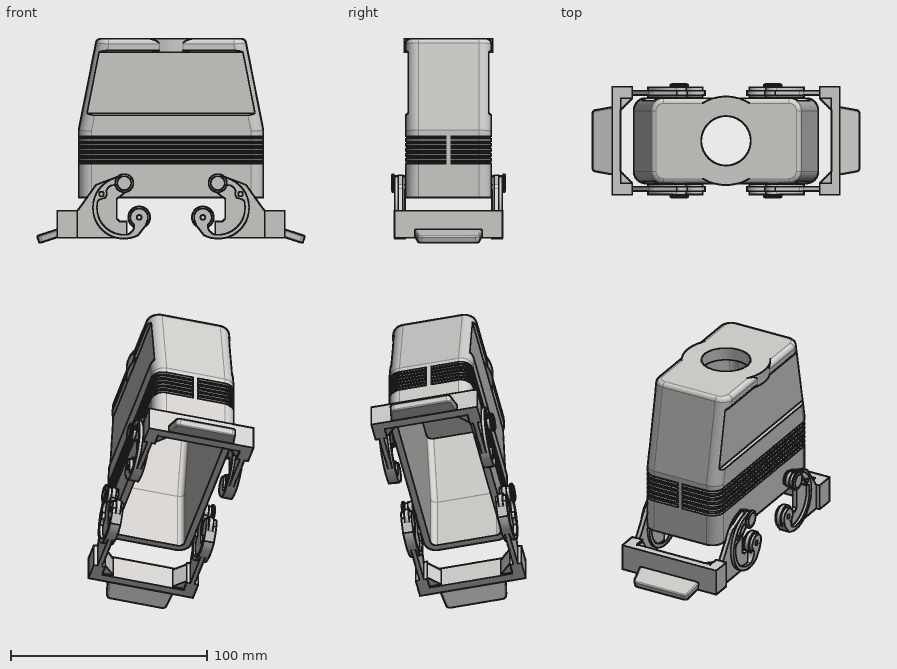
import cadquery as cq
import math

overall_length = 136.3

hood_length = 94.2
hood_width = 43.6
hood_height = 81.0
taper_start_z = 34.5
hood_top_length = 75.8
corner_radius = 6.4
top_fillet = 2.6
wall = 3.4
roof_thickness = 6.8
cavity_corner_radius = corner_radius - wall
cable_hole_diameter = 25.1
boss_radius = 22.6

panel_width = 41.0
panel_bottom_z = 42.0
panel_top_z = hood_height - roof_thickness
panel_bottom_bevel = 1.1
panel_top_bevel = 0.8

groove_count = 6
groove_height = 1.5
groove_depth = 0.8
first_groove_z = 17.2
last_groove_z = 29.8
groove_pitch = (last_groove_z - first_groove_z) / (groove_count - 1)
end_rib_width = 2.6

frame_outer_x = 58.0
frame_inner_x = 47.7
bar_thickness = 4.4
frame_width = 55.2
frame_opening = 43.2
frame_top_z = -6.7
frame_bottom_z = -20.6
gusset_setback = 1.1

tab_root_width = 34.3
tab_tip_width = 30.8
tab_thickness = 4.0
tab_angle = 18.0
tab_root_z = -18.3
tab_embed = 1.4
tab_corner_radius = 2.0
tab_edge_fillet = 0.7
tab_tilt = math.radians(tab_angle)
tab_reach = overall_length / 2 - frame_outer_x
tab_tip_rise = (tab_thickness / 2 - tab_edge_fillet) * math.sin(tab_tilt)
tab_length = tab_edge_fillet + (tab_reach - tab_edge_fillet - tab_tip_rise) / math.cos(tab_tilt)

plate_inner_y = 23.3
plate_outer_y = 25.6
plate_embed = 1.4
lip_x = -22.5
lip_z = -12.1
lip_chamfer = 1.4
jaw_x = -27.5
jaw_top = (jaw_x, -0.7)
neck_front = (-21.8, 3.8)
neck_back = (-25.1, 11.5)
shoulder_top = (-37.3, 6.8)
shoulder_mid = (-38.6, 6.0)
shoulder_end = (-39.4, 4.8)

pivot_x = -23.9
pivot_z = 7.4
hub_radius = 3.7
hub_plate_radius = 4.1
ring_x = -24.0
ring_z = -5.2
ring_outer_radius = 15.8
ring_inner_radius = 13.8

eye_x = -16.2
eye_z = -10.1
eye_plate_radius = 5.6
eye_hook_radius = 4.5

hook_inner_y = 22.1
hook_outer_y = 27.4
ring_top_angle = 90
tail_angle = 297
outer_mid_angle = (ring_top_angle + tail_angle) / 2
tail_corner = (-13.2, -14.7)
tail_end = (-12.3, -12.4)
throat_tip = (-18.8, -13.9)
throat_mid = (-19.6, -16.9)
throat_angle = 277
pad_angle = 166
inner_mid_angle = (throat_angle + pad_angle) / 2
pad_root = (-36.0, -0.8)
pad_bottom = (-34.1, -0.4)
pad_corner = (-33.1, 0.5)
pad_top = (-33.0, 3.0)
arch_mid = (-31.8, 5.3)
arch_end = (-29.0, 6.4)

dimple_radius = 1.2
dimple_depth = 1.4
dimple_centres = [(-35.5, 1.8), (eye_x, eye_z)]

pin_head_radius = 4.6
pin_face_radius = 3.5
pin_bevel_depth = 0.5
pin_neck_radius = 3.0
pin_root_y = 20.5
pin_head_y = 27.8
pin_end_y = 29.0


def tapered_box(length, top_length, width, height, radius):
    """Straight-sided base with sloping ends above, all upright corners rounded."""
    profile = [
        (-length / 2, 0),
        (length / 2, 0),
        (length / 2, taper_start_z),
        (top_length / 2, height),
        (-top_length / 2, height),
        (-length / 2, taper_start_z),
    ]
    body = cq.Workplane("XZ").polyline(profile).close().extrude(width / 2, both=True)
    return body.edges("not (|X or |Y)").fillet(radius)


def side_panel():
    """Cutter for the shallow panel in the -Y side, bevelled at its lower and upper edges."""
    outside = hood_width
    profile = [
        (-panel_width / 2, panel_top_z),
        (-hood_width / 2, panel_top_z + panel_top_bevel),
        (-outside, panel_top_z + panel_top_bevel),
        (-outside, panel_bottom_z),
        (-hood_width / 2, panel_bottom_z),
        (-panel_width / 2, panel_bottom_z + panel_bottom_bevel),
    ]
    return cq.Workplane("YZ").polyline(profile).close().extrude(hood_length, both=True)


def grip_groove(z):
    """V-shaped ring cutter for one groove, interrupted by a rib at the middle of each end."""
    ring = (
        cq.Workplane("XY", origin=(0, 0, z))
        .rect(hood_length * 2, hood_width * 2)
        .extrude(groove_height)
    )
    middle = z + groove_height / 2
    flank_angle = math.degrees(math.atan(2 * groove_depth / groove_height))
    lower_flank = (
        cq.Workplane("XY", origin=(0, 0, z))
        .sketch()
        .rect(hood_length, hood_width)
        .vertices()
        .fillet(corner_radius)
        .finalize()
        .extrude(groove_height / 2, taper=flank_angle)
    )
    upper_flank = lower_flank.mirror("XY", (0, 0, middle))
    rib = cq.Workplane("XY", origin=(0, 0, z)).rect(hood_length * 2, end_rib_width).extrude(groove_height)
    return ring.cut(lower_flank).cut(upper_flank).cut(rib)


def make_hood():
    hood = tapered_box(hood_length, hood_top_length, hood_width, hood_height, corner_radius)
    hood = hood.faces(">Z").edges().fillet(top_fillet)
    panel = side_panel()
    hood = hood.cut(panel).cut(panel.mirror("XZ"))
    for i in range(groove_count):
        hood = hood.cut(grip_groove(first_groove_z + i * groove_pitch))
    boss = cq.Workplane("XY", origin=(0, 0, panel_top_z)).circle(boss_radius).extrude(roof_thickness)
    cavity = tapered_box(
        hood_length - 2 * wall,
        hood_top_length - 2 * wall,
        hood_width - 2 * wall,
        hood_height - roof_thickness,
        cavity_corner_radius,
    )
    cable_hole = cq.Workplane("XY").circle(cable_hole_diameter / 2).extrude(hood_height)
    return hood.union(boss).cut(cavity).cut(cable_hole)


def make_frame():
    """U-shaped cross bar with a gusset in each inner corner."""
    height = frame_top_z - frame_bottom_z
    depth = frame_outer_x - frame_inner_x
    bar_inner_x = -frame_outer_x + bar_thickness
    frame = cq.Workplane("XY").box(depth, frame_width, height, centered=(False, True, False))
    opening = (
        cq.Workplane("XY")
        .box(depth, frame_opening, height, centered=(False, True, False))
        .translate((bar_thickness, 0, 0))
    )
    frame = frame.cut(opening).translate((-frame_outer_x, 0, frame_bottom_z))
    gusset_side = frame_outer_x - bar_thickness - frame_inner_x
    corner_y = -frame_opening / 2
    gusset = (
        cq.Workplane("XY", origin=(0, 0, frame_bottom_z + gusset_setback))
        .moveTo(bar_inner_x, corner_y)
        .lineTo(bar_inner_x + gusset_side, corner_y)
        .lineTo(bar_inner_x, corner_y + gusset_side)
        .close()
        .extrude(height - 2 * gusset_setback)
    )
    return frame.union(gusset).union(gusset.mirror("XZ"))


def make_tab():
    """Tapering finger tab that slopes down and away from the cross bar."""
    outline = [
        (tab_embed, tab_root_width / 2),
        (0, tab_root_width / 2),
        (-tab_length, tab_tip_width / 2),
        (-tab_length, -tab_tip_width / 2),
        (0, -tab_root_width / 2),
        (tab_embed, -tab_root_width / 2),
    ]
    tab = cq.Workplane("XY").polyline(outline).close().extrude(tab_thickness / 2, both=True)
    tab = tab.edges("|Z and <X").fillet(tab_corner_radius)
    tab = tab.faces("|Z").edges("not >X").fillet(tab_edge_fillet)
    tab = tab.rotate((0, 0, 0), (0, 1, 0), -tab_angle)
    return tab.translate((-frame_outer_x, 0, tab_root_z))


def disc(x, z, radius, inner_y, outer_y):
    """Disc with its axis along Y on the -Y side, between two distances from the centre plane."""
    return cq.Workplane("XZ", origin=(x, -inner_y, z)).circle(radius).extrude(outer_y - inner_y)


def on_ring(radius, angle):
    """Point on a circle about the ring centre, angle in degrees from +X toward +Z."""
    a = math.radians(angle)
    return (ring_x + radius * math.cos(a), ring_z + radius * math.sin(a))


def make_side_plate():
    """Flat plate from the frame to the pivot, with the eye disc inside the hook's end."""
    plate = (
        cq.Workplane("XZ", origin=(0, -plate_inner_y, 0))
        .moveTo(-frame_inner_x - plate_embed, frame_bottom_z)
        .lineTo(lip_x, frame_bottom_z)
        .lineTo(lip_x, lip_z)
        .lineTo(jaw_x + lip_chamfer, lip_z)
        .lineTo(jaw_x, lip_z + lip_chamfer)
        .lineTo(*jaw_top)
        .lineTo(*neck_front)
        .lineTo(pivot_x, pivot_z)
        .lineTo(*neck_back)
        .lineTo(*shoulder_top)
        .threePointArc(shoulder_mid, shoulder_end)
        .lineTo(-frame_inner_x, frame_top_z)
        .lineTo(-frame_inner_x - plate_embed, frame_top_z)
        .close()
        .extrude(plate_outer_y - plate_inner_y)
    )
    plate = plate.union(disc(pivot_x, pivot_z, hub_plate_radius, plate_inner_y, plate_outer_y))
    return plate.union(disc(eye_x, eye_z, eye_plate_radius, plate_inner_y, plate_outer_y))


def make_hook():
    """Thick C-shaped hook running from the pivot hub around to the eye."""
    hook = (
        cq.Workplane("XZ", origin=(0, -hook_inner_y, 0))
        .moveTo(*on_ring(ring_outer_radius, ring_top_angle))
        .threePointArc(on_ring(ring_outer_radius, outer_mid_angle), on_ring(ring_outer_radius, tail_angle))
        .lineTo(*tail_corner)
        .lineTo(*tail_end)
        .lineTo(eye_x, eye_z)
        .lineTo(*throat_tip)
        .threePointArc(throat_mid, on_ring(ring_inner_radius, throat_angle))
        .threePointArc(on_ring(ring_inner_radius, inner_mid_angle), on_ring(ring_inner_radius, pad_angle))
        .threePointArc(pad_root, pad_bottom)
        .threePointArc(pad_corner, pad_top)
        .threePointArc(arch_mid, arch_end)
        .lineTo(pivot_x, arch_end[1])
        .close()
        .extrude(hook_outer_y - hook_inner_y)
    )
    hook = hook.union(disc(pivot_x, pivot_z, hub_radius, hook_inner_y, hook_outer_y))
    return hook.union(disc(eye_x, eye_z, eye_hook_radius, hook_inner_y, hook_outer_y))


def make_pin():
    """Pivot pin rooted in the hood wall, with a bevelled flat head."""
    neck = disc(pivot_x, pivot_z, pin_neck_radius, pin_root_y, pin_head_y)
    head = disc(pivot_x, pivot_z, pin_head_radius, pin_head_y, pin_end_y)
    head = head.faces("<Y").edges().chamfer(pin_bevel_depth, pin_head_radius - pin_face_radius)
    return neck.union(head)


def make_lever_side():
    """Plate, hook and pin on the -Y side of the lever."""
    side = make_side_plate().union(make_hook())
    for x, z in dimple_centres:
        side = side.cut(disc(x, z, dimple_radius, hook_outer_y - dimple_depth, hook_outer_y))
    return side.union(make_pin())


def make_lever():
    side = make_lever_side()
    return make_frame().union(make_tab()).union(side).union(side.mirror("XZ"))


lever = make_lever()
result = make_hood().union(lever).union(lever.mirror("YZ"))